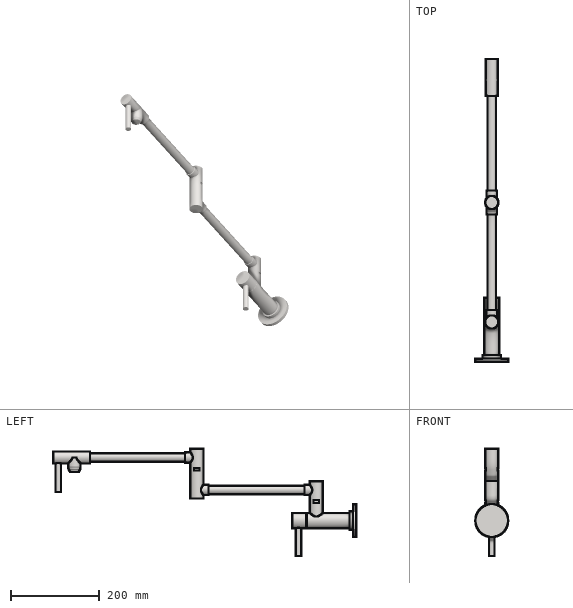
import cadquery as cq

total_length = 682.0
fusion_overlap = 3.5

plate_diameter = 74.0
plate_thickness = 7.5
collar_diameter = 42.0
collar_end_y = 16.0
body_diameter = 35.0
body_end_y = 144.5
body_groove_y = 112.5
body_groove_width = 2.0
body_groove_depth = 1.0

column_diameter = 30.0
post_y = 90.0
elbow_y = 358.5
swivel_end_height = 20.0
swivel_seam_drop = 43.0
flat_width = 12.0
flat_height = 6.0

arm_diameter = 20.0
arm_collar_diameter = 24.0
arm_collar_reach = 26.5
lower_arm_z = 69.0
upper_arm_z = 142.0

outlet_diameter = 27.0
outlet_start_y = 598.5
spout_y = 634.0
spout_diameter = 28.5
spout_shoulder_drop = 22.0
spout_waist_diameter = 26.0
spout_waist_drop = 27.0
spout_tip_diameter = 20.0
spout_tip_drop = 33.0

lever_diameter = 13.0
body_lever_y = 130.0
outlet_lever_y = 670.0
body_lever_length = 80.0
outlet_lever_length = 78.0

post_top = lower_arm_z + swivel_end_height
elbow_bottom = lower_arm_z - swivel_end_height
elbow_top = upper_arm_z + swivel_end_height


def cylinder_y(diameter, start_y, end_y, axis_z=0.0):
    """Round bar along Y at X = 0."""
    radius = diameter / 2
    return cq.Workplane(
        cq.Solid.makeCylinder(radius, end_y - start_y, cq.Vector(0, start_y, axis_z), cq.Vector(0, 1, 0))
    )


def cylinder_z(diameter, bottom_z, top_z, axis_y):
    """Round bar along Z at X = 0."""
    return cq.Workplane("XY", origin=(0, axis_y, bottom_z)).circle(diameter / 2).extrude(top_z - bottom_z)


def column(bottom_z, top_z, axis_y):
    """Upright column with a wrench flat on each X side just below the swivel joint."""
    flat_top = top_z - swivel_seam_drop
    radius = column_diameter / 2
    flat_offset = (radius**2 - (flat_width / 2) ** 2) ** 0.5
    shaft = cylinder_z(column_diameter, bottom_z, top_z, axis_y)
    for side in (-1, 1):
        cutter = (
            cq.Workplane("XY", origin=(side * (flat_offset + radius / 2), axis_y, flat_top - flat_height))
            .rect(radius, column_diameter)
            .extrude(flat_height)
        )
        shaft = shaft.cut(cutter)
    return shaft


def valve_body():
    """Wall plate, collar and horizontal body with a fine groove at the handle hub."""
    groove_start = body_groove_y - body_groove_width / 2
    groove_end = body_groove_y + body_groove_width / 2
    groove = cylinder_y(body_diameter, groove_start, groove_end).cut(
        cylinder_y(body_diameter - 2 * body_groove_depth, groove_start, groove_end)
    )
    body = cylinder_y(body_diameter, 0, body_end_y).cut(groove)
    return (
        cylinder_y(plate_diameter, 0, plate_thickness)
        .union(cylinder_y(collar_diameter, 0, collar_end_y))
        .union(body)
    )


def arm_collar(column_y, direction, axis_z):
    """Short collar from a column axis towards +Y or -Y."""
    start_y, end_y = sorted((column_y, column_y + direction * arm_collar_reach))
    return cylinder_y(arm_collar_diameter, start_y, end_y, axis_z)


def spout():
    """Downward nozzle whose end narrows in two tapers."""
    return (
        cq.Workplane("YZ", origin=(0, spout_y, upper_arm_z))
        .lineTo(spout_diameter / 2, 0)
        .lineTo(spout_diameter / 2, -spout_shoulder_drop)
        .lineTo(spout_waist_diameter / 2, -spout_waist_drop)
        .lineTo(spout_tip_diameter / 2, -spout_tip_drop)
        .lineTo(0, -spout_tip_drop)
        .close()
        .revolve(360, (0, 0, 0), (0, 1, 0))
    )


def lever(axis_y, valve_z, length):
    """Plain round handle hanging from a valve axis."""
    return cylinder_z(lever_diameter, valve_z - length, valve_z, axis_y)


pieces = [
    column(0, post_top, post_y),
    column(elbow_bottom, elbow_top, elbow_y),
    arm_collar(post_y, 1, lower_arm_z),
    cylinder_y(arm_diameter, post_y, elbow_y, lower_arm_z),
    arm_collar(elbow_y, -1, lower_arm_z),
    arm_collar(elbow_y, 1, upper_arm_z),
    cylinder_y(arm_diameter, elbow_y, outlet_start_y + fusion_overlap, upper_arm_z),
    cylinder_y(outlet_diameter, outlet_start_y, total_length, upper_arm_z),
    spout(),
    lever(body_lever_y, 0, body_lever_length),
    lever(outlet_lever_y, upper_arm_z, outlet_lever_length),
]

result = valve_body()
for piece in pieces:
    result = result.union(piece)